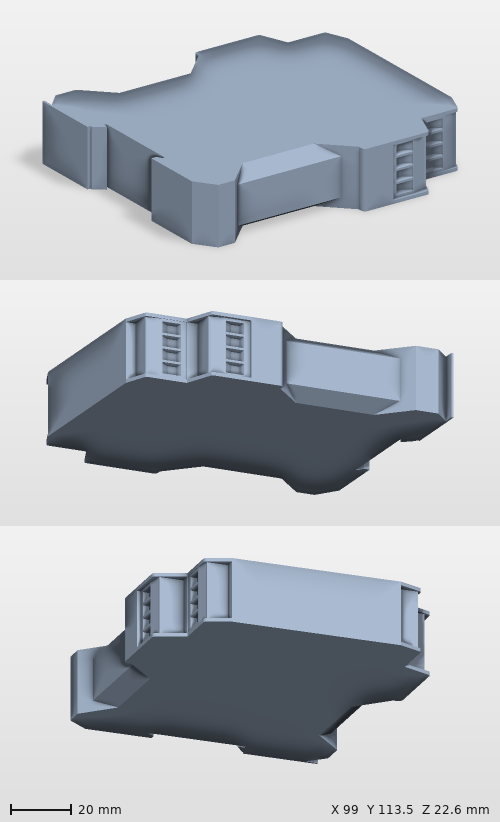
import cadquery as cq
import math


WIDTH = 99.0
HEIGHT = 113.5
THICKNESS = 22.6
HALF_WIDTH = WIDTH / 2

CROWN_HALF_WIDTH = 30.1
NECK_HALF_WIDTH = 38.75
SHOULDER_ANGLE = math.radians(21.5)
NECK_TOP_Y = HEIGHT - (NECK_HALF_WIDTH - CROWN_HALF_WIDTH) * math.tan(SHOULDER_ANGLE)
SHOULDER_INNER_Y = 95.15
SHOULDER_OUTER_Y = SHOULDER_INNER_Y - (HALF_WIDTH - NECK_HALF_WIDTH) * math.tan(SHOULDER_ANGLE)
SHOULDER_BOTTOM_Y = 64.5
UPPER_CORNER_RADIUS = 1.2
LOWER_CORNER_RADIUS = 1.5

WAIST_HALF_WIDTH = 35.9
WAIST_TOP_Y = 53.75
WAIST_BOTTOM_Y = 25.0
WAIST_TOP_HALF_WIDTH = WAIST_HALF_WIDTH + SHOULDER_BOTTOM_Y - WAIST_TOP_Y
BASE_HALF_WIDTH = 46.3
BASE_TOP_Y = WAIST_BOTTOM_Y - (BASE_HALF_WIDTH - WAIST_HALF_WIDTH)

RIB_HALF_WIDTH = 42.4
RIB_FACE_HEIGHT = 14.9
RIB_OVERHANG = RIB_HALF_WIDTH - WAIST_HALF_WIDTH
RIB_TOP_Y = WAIST_TOP_Y + RIB_OVERHANG
RIB_BOTTOM_Y = WAIST_BOTTOM_Y - RIB_OVERHANG

RAIL_SEAT_Y = 6.45
RAIL_SEAT_LEFT_X = -17.0
RAIL_SEAT_RIGHT_X = 17.3
RIGHT_FOOT_Y = 2.4
RIGHT_FOOT_INNER_X = 15.2
RIGHT_FOOT_OUTER_X = 38.8
RIGHT_FOOT_CHAMFER_Y = 7.9
RIGHT_HOOK_UPPER_Y = 5.6
RIGHT_HOOK_LOWER_Y = 4.5
LATCH_UPPER_Y = 5.6
LATCH_TIP_X = -14.5
LATCH_TIP_Y = 5.2
LATCH_LOWER_X = -17.7
LATCH_LOWER_Y = 1.2
LEFT_FOOT_INNER_X = -18.5
LEFT_FOOT_CHAMFER_Y = 6.3
TAB_ROOT_X = -40.4
TAB_TIP_X = -44.8
TAB_THICKNESS = 0.8

BLOCK_HEIGHT = 20.1
BLOCK_OUTER_MARGIN = 1.0
TIER_PITCH = 18.7
UPPER_TIER_Y = 109.9
LOWER_TIER_Y = UPPER_TIER_Y - TIER_PITCH
UPPER_TIER_INSET = 0.2
LOWER_TIER_INSET = 1.3
TIER_LENGTH = 14.75
LIP_LENGTH = 0.8
LEAD_IN_LENGTH = 4.75
LEAD_IN_DEPTH = LEAD_IN_LENGTH * math.tan(math.radians(10.7))

POCKETS_PER_TIER = 4
POCKET_PITCH = 4.75
POCKET_MOUTH_HEIGHT = 3.95
POCKET_FLOOR_HEIGHT = 3.1
POCKET_START = 5.9
POCKET_ENTRY_STEP = 0.7
POCKET_RAMP_LENGTH = 2.8
POCKET_FLOOR_LENGTH = 3.2
POCKET_END_LENGTH = 0.75
POCKET_DEPTH = POCKET_ENTRY_STEP + POCKET_RAMP_LENGTH * math.tan(math.radians(24.5))


def prism_z(points, height):
    """Closed XY outline extruded symmetrically about Z = 0."""
    return cq.Workplane("XY").polyline(points).close().extrude(height / 2, both=True)


def round_corners(body, x, y, radius):
    """Round the two mirrored Z edges at (-x, y) and (x, y)."""
    reach = 0.1
    for side in (-1, 1):
        box = cq.selectors.BoxSelector(
            (side * x - reach, y - reach, -THICKNESS),
            (side * x + reach, y + reach, THICKNESS),
        )
        body = body.edges("|Z").edges(box).fillet(radius)
    return body


def make_case():
    right_flank = [
        (CROWN_HALF_WIDTH, HEIGHT),
        (NECK_HALF_WIDTH, NECK_TOP_Y),
        (NECK_HALF_WIDTH, SHOULDER_INNER_Y),
        (HALF_WIDTH, SHOULDER_OUTER_Y),
        (HALF_WIDTH, SHOULDER_BOTTOM_Y),
        (WAIST_TOP_HALF_WIDTH, SHOULDER_BOTTOM_Y),
        (WAIST_HALF_WIDTH, WAIST_TOP_Y),
        (WAIST_HALF_WIDTH, WAIST_BOTTOM_Y),
        (BASE_HALF_WIDTH, BASE_TOP_Y),
    ]
    left_flank = [(-x, y) for x, y in reversed(right_flank)]
    right_foot = [
        (BASE_HALF_WIDTH, RIGHT_FOOT_CHAMFER_Y),
        (RIGHT_FOOT_OUTER_X, RIGHT_FOOT_Y),
        (RIGHT_FOOT_INNER_X, RIGHT_FOOT_Y),
        (RIGHT_FOOT_INNER_X, RIGHT_HOOK_LOWER_Y),
        (RAIL_SEAT_RIGHT_X, RIGHT_HOOK_UPPER_Y),
        (RAIL_SEAT_RIGHT_X, RAIL_SEAT_Y),
    ]
    left_foot = [
        (RAIL_SEAT_LEFT_X, RAIL_SEAT_Y),
        (RAIL_SEAT_LEFT_X, LATCH_UPPER_Y),
        (LATCH_TIP_X, LATCH_TIP_Y),
        (LATCH_LOWER_X, LATCH_LOWER_Y),
        (LEFT_FOOT_INNER_X, LATCH_LOWER_Y),
        (LEFT_FOOT_INNER_X, 0),
        (TAB_TIP_X, 0),
        (TAB_TIP_X, TAB_THICKNESS),
        (TAB_ROOT_X, TAB_THICKNESS),
        (-BASE_HALF_WIDTH, LEFT_FOOT_CHAMFER_Y),
    ]
    case = prism_z(right_flank + right_foot + left_foot + left_flank, THICKNESS)
    case = round_corners(case, NECK_HALF_WIDTH, NECK_TOP_Y, UPPER_CORNER_RADIUS)
    case = round_corners(case, HALF_WIDTH, SHOULDER_OUTER_Y, UPPER_CORNER_RADIUS)
    return round_corners(case, HALF_WIDTH, SHOULDER_BOTTOM_Y, LOWER_CORNER_RADIUS)


def make_waist_ribs():
    """Bar across the waist whose side faces taper back to the case faces."""
    section = [
        (WAIST_HALF_WIDTH, THICKNESS / 2),
        (RIB_HALF_WIDTH, RIB_FACE_HEIGHT / 2),
        (RIB_HALF_WIDTH, -RIB_FACE_HEIGHT / 2),
        (WAIST_HALF_WIDTH, -THICKNESS / 2),
    ]
    section += [(-x, z) for x, z in reversed(section)]
    bar = cq.Workplane("XZ", origin=(0, RIB_TOP_Y, 0)).polyline(section).close()
    return bar.extrude(RIB_TOP_Y - RIB_BOTTOM_Y)


def terminal_recess(tier_y, step_x, face_x, outer_x):
    """Space removed between the case walls around a left-hand terminal tier."""
    lip_x = face_x + LEAD_IN_DEPTH
    lip_y = tier_y - LIP_LENGTH
    outside_x = outer_x - BLOCK_OUTER_MARGIN
    profile = [
        (step_x, HEIGHT),
        (step_x, tier_y),
        (lip_x, tier_y),
        (lip_x, lip_y),
        (face_x, lip_y - LEAD_IN_LENGTH),
        (face_x, tier_y - TIER_LENGTH),
        (outside_x, tier_y - TIER_LENGTH),
        (outside_x, HEIGHT),
    ]
    return prism_z(profile, BLOCK_HEIGHT)


def wire_pockets(tier_y, face_x):
    """Row of pockets along Z: stepped and sloping entry, flat floor,
    steep end wall and drafted side walls.
    """
    start_y = tier_y - POCKET_START
    ramp_end_y = start_y - POCKET_RAMP_LENGTH
    floor_end_y = ramp_end_y - POCKET_FLOOR_LENGTH
    profile = [
        (face_x, start_y),
        (face_x + POCKET_ENTRY_STEP, start_y),
        (face_x + POCKET_DEPTH, ramp_end_y),
        (face_x + POCKET_DEPTH, floor_end_y),
        (face_x, floor_end_y - POCKET_END_LENGTH),
    ]
    drafted_section = [
        (face_x, POCKET_MOUTH_HEIGHT / 2),
        (face_x + POCKET_DEPTH, POCKET_FLOOR_HEIGHT / 2),
        (face_x + POCKET_DEPTH, -POCKET_FLOOR_HEIGHT / 2),
        (face_x, -POCKET_MOUTH_HEIGHT / 2),
    ]
    draft = cq.Workplane("XZ", origin=(0, tier_y, 0)).polyline(drafted_section).close()
    pocket = prism_z(profile, POCKET_MOUTH_HEIGHT).intersect(draft.extrude(TIER_LENGTH))
    first_z = -POCKET_PITCH * (POCKETS_PER_TIER - 1) / 2
    row = cq.Workplane("XY")
    for index in range(POCKETS_PER_TIER):
        row = row.add(pocket.translate((0, 0, first_z + index * POCKET_PITCH)))
    return row.combine()


def cut_on_both_flanks(body, cutter):
    return body.cut(cutter).cut(cutter.mirror("YZ"))


def cut_terminals(body):
    upper_face_x = -NECK_HALF_WIDTH + UPPER_TIER_INSET
    lower_face_x = -HALF_WIDTH + LOWER_TIER_INSET
    cutters = [
        terminal_recess(UPPER_TIER_Y, -CROWN_HALF_WIDTH, upper_face_x, -NECK_HALF_WIDTH),
        terminal_recess(LOWER_TIER_Y, -NECK_HALF_WIDTH, lower_face_x, -HALF_WIDTH),
        wire_pockets(UPPER_TIER_Y, upper_face_x),
        wire_pockets(LOWER_TIER_Y, lower_face_x),
    ]
    for cutter in cutters:
        body = cut_on_both_flanks(body, cutter)
    return body


result = cut_terminals(make_case().union(make_waist_ribs()))